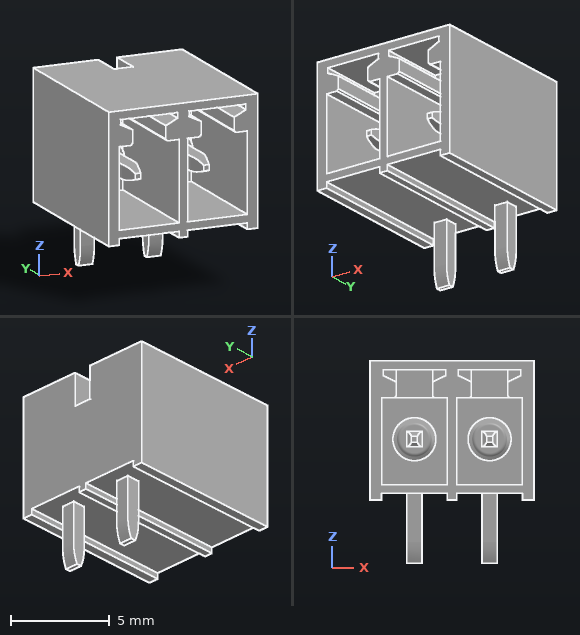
import cadquery as cq

pitch = 3.81
pole_count = 2
housing_width = 8.31
housing_length = 9.2
housing_height = 7.07

cavity_width = 3.32
cavity_depth = 6.8
cavity_floor_thickness = 0.45
foot_height = 0.34
cavity_height = 4.39

slot_width = 1.84
slot_roof_thickness = 0.47
wing_span = 3.16
wing_outer_height = 0.29
wing_inner_height = 0.61
slot_edge_chamfer = 0.1
slot_depth = 5.0
wing_depth = 4.0

boss_base_radius = 1.09
boss_tip_radius = 0.87
boss_edge_fillet = 0.18
boss_length = 2.0

notch_width = 1.05
notch_length = 1.95
notch_depth = 1.95

pin_size = 0.78
pin_tip_size = 0.3
pin_taper_length = 1.09
pin_tip_setback = 1.37
pin_axis_depth = 3.98
leg_setback = 1.32
leg_protrusion = 3.2

front_y = -housing_length / 2
rear_y = housing_length / 2
cavity_back_y = front_y + cavity_depth
cavity_bottom_z = foot_height + cavity_floor_thickness
cavity_top_z = cavity_bottom_z + cavity_height
slot_top_z = housing_height - slot_roof_thickness
pin_axis_z = housing_height - pin_axis_depth
pin_tip_y = front_y + pin_tip_setback
leg_y = rear_y - leg_setback
leg_tip_z = -leg_protrusion
half_pin = pin_size / 2
half_tip = pin_tip_size / 2
pole_xs = [(i - (pole_count - 1) / 2) * pitch for i in range(pole_count)]


def block(x_mid, width, y_min, y_max, z_min, z_max):
    """Box centred on x_mid, between the given Y and Z limits."""
    return cq.Workplane("XY").box(width, y_max - y_min, z_max - z_min, centered=False).translate(
        (x_mid - width / 2, y_min, z_min)
    )


def mirrored_cut(x, right_side, depth):
    """Cutter from the front face whose outline is right_side plus its mirror image about x."""
    left_side = [(-px, pz) for px, pz in reversed(right_side)]
    profile = cq.Workplane("XZ", origin=(x, front_y, 0)).polyline(right_side + left_side).close()
    return profile.extrude(-depth)


def coding_slot(x):
    """Slot over a cavity with bevelled lower edges, and shallower sloped wings on both sides."""
    half_slot = slot_width / 2
    half_span = wing_span / 2
    slot_outline = [
        (half_slot + slot_edge_chamfer, cavity_top_z),
        (half_slot, cavity_top_z + slot_edge_chamfer),
        (half_slot, slot_top_z),
    ]
    wing_outline = [
        (half_slot, slot_top_z - wing_inner_height),
        (half_span, slot_top_z - wing_outer_height),
        (half_span, slot_top_z),
    ]
    slot = mirrored_cut(x, slot_outline, slot_depth)
    wings = mirrored_cut(x, wing_outline, wing_depth)
    return slot.union(wings)


def support_boss(x):
    """Tapered round boss with a rounded rim, pointing to the front from the cavity's back wall."""
    base = cq.Workplane("XZ", origin=(x, cavity_back_y, pin_axis_z)).circle(boss_base_radius)
    cone = base.workplane(offset=boss_length).circle(boss_tip_radius).loft()
    return cone.faces("<Y").edges().fillet(boss_edge_fillet)


def contact_pin(x):
    """Square L-shaped pin: a contact pointing to the front and a solder leg pointing down."""
    taper_start_y = pin_tip_y + pin_taper_length
    taper_start_z = leg_tip_z + pin_taper_length
    taper_inset = half_pin - half_tip
    taper_radius = (pin_taper_length**2 + taper_inset**2) / (2 * taper_inset)
    side_profile = (
        cq.Workplane("YZ", origin=(x - half_pin, 0, 0))
        .moveTo(pin_tip_y, pin_axis_z - half_tip)
        .lineTo(pin_tip_y, pin_axis_z + half_tip)
        .radiusArc((taper_start_y, pin_axis_z + half_pin), taper_radius)
        .lineTo(leg_y + half_pin, pin_axis_z + half_pin)
        .lineTo(leg_y + half_pin, taper_start_z)
        .radiusArc((leg_y + half_tip, leg_tip_z), taper_radius)
        .lineTo(leg_y - half_tip, leg_tip_z)
        .radiusArc((leg_y - half_pin, taper_start_z), taper_radius)
        .lineTo(leg_y - half_pin, pin_axis_z - half_pin)
        .lineTo(taper_start_y, pin_axis_z - half_pin)
        .radiusArc((pin_tip_y, pin_axis_z - half_tip), taper_radius)
        .close()
    )
    plan_outline = [
        (-half_tip, pin_tip_y),
        (half_tip, pin_tip_y),
        (half_pin, taper_start_y),
        (half_pin, leg_y + half_pin),
        (-half_pin, leg_y + half_pin),
        (-half_pin, taper_start_y),
    ]
    plan = cq.Workplane("XY", origin=(x, 0, leg_tip_z)).polyline(plan_outline).close()
    pin = side_profile.extrude(pin_size).intersect(plan.extrude(leg_protrusion + housing_height))
    return pin.solids()


def make_housing(pins):
    """Header housing with a cavity, coding slot, boss and pin passage for each pole."""
    body = block(0, housing_width, front_y, rear_y, 0, housing_height)
    body = body.cut(
        block(0, notch_width, rear_y - notch_length, rear_y, housing_height - notch_depth, housing_height)
    )
    for x, pin in zip(pole_xs, pins):
        body = body.cut(block(x, cavity_width, front_y, rear_y, 0, foot_height))
        body = body.cut(block(x, cavity_width, front_y, cavity_back_y, cavity_bottom_z, cavity_top_z))
        body = body.cut(coding_slot(x))
        body = body.union(support_boss(x))
        body = body.cut(pin)
    return body.solids()


contact_pins = [contact_pin(x) for x in pole_xs]
housing = make_housing(contact_pins)

result = cq.Compound.makeCompound([housing.val(), *[pin.val() for pin in contact_pins]])